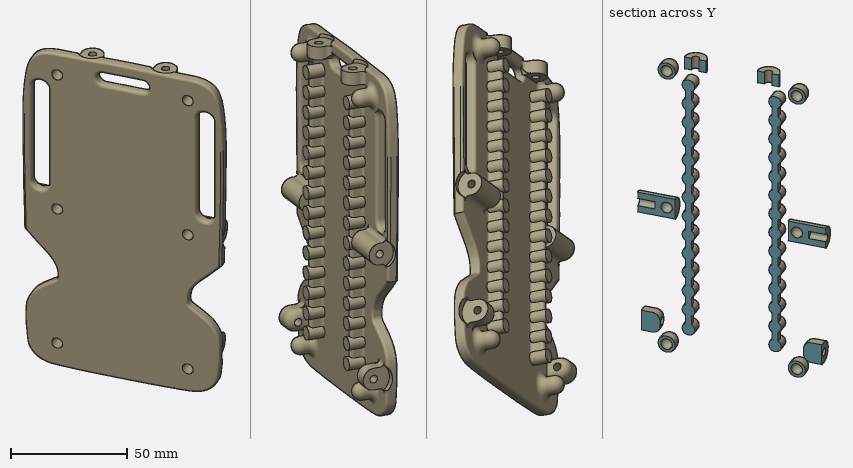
import cadquery as cq
import math

PLATE_THICKNESS = 5.0
PLATE_EDGE_RADIUS = 1.0
PLATE_TOP = 78.2
PLATE_BOTTOM = -79.36
PLATE_HALF_WIDTH = 46.115

TOP_MIDDLE = (0, PLATE_TOP)
TOP_CORNER = [(28.2, 77.8), (36.6, 77.0), (41.3, 74.2), (43.5, 70.4), (45.1, 62.8)]
WIDEST = (PLATE_HALF_WIDTH, 44.8)
SIDE_MIDDLE = (45.85, 14.0)
SIDE_END = (45.2, -13.0)
WAIST_UPPER = [(39.0, -19.3), (34.0, -24.1), (30.9, -28.8)]
WAIST = (29.9, -34.4)
WAIST_ARC_RADIUS = 2.5
WAIST_SLOPE = math.radians(32)
FOOT_SHOULDER = [(37.4, -40.6), (40.4, -43.1), (43.3, -47.3)]
FOOT_SIDE = (44.65, -59.3)
FOOT_CORNER = [(44.1, -66.0), (43.2, -71.5), (40.4, -75.4), (35.1, -78.2), (28.0, -79.0)]
BOTTOM_MIDDLE = (0, PLATE_BOTTOM)

WAIST_ENTRY = (-0.74, -0.67)
RIGHT = (1, 0)
LEFT = (-1, 0)
DOWN = (0, -1)

ALONG_X = 0
ALONG_Z = 90
SLOT_MOUTH_RADIUS = 1.5
SIDE_SLOT_WIDTH = 8.0
SIDE_SLOT_CENTRES = 47.0
SIDE_SLOT_X = 37.9
SIDE_SLOT_Z = 35.4
TOP_SLOT_WIDTH = 6.0
TOP_SLOT_CENTRES = 18.0
TOP_SLOT_Z = 69.6

BOSS_X = 30.0
BOSS_ROWS_Z = (-67.5, 67.5)
BOSS_RADIUS = 4.0
BOSS_TOP = 14.5
BOSS_FOOT_RADIUS = 3.0
BORE_RADIUS = 2.5
BORE_DOME_RADIUS = 2.2
BORE_DEPTH = 11.0

LUG_RADIUS = 5.0
LUG_HOLE_RADIUS = 1.75
LUG_FOOT_RADIUS = 2.0
LUG_AXIS_Y = 8.0
LUG_RELIEF_RADIUS = 6.5
TOP_LUG_X = 16.8
TOP_LUG_END_Z = 76.3
TOP_LUG_LENGTH = 6.0
RELIEF_LENGTH = 10.0
SIDE_LUG_Z = 0.0
SIDE_LUG_END_X = 43.4
SIDE_LUG_LENGTH = SIDE_LUG_END_X - BOSS_X + BOSS_RADIUS
SIDE_LUG_HOLE_DEPTH = 8.0
LOW_LUG_AXIS_Y = 10.0
LOW_LUG_RELIEF_RADIUS = 7.5
LOW_LUG_END_X = 41.6
LOW_LUG_Z = -58.0
LOW_LUG_STRAIGHT = 5.0
LOW_LUG_END_RADIUS = 3.6

POST_X = 19.95
POST_RADIUS = 3.0
POST_TOP = 12.6
POST_COUNT = 14
POST_PITCH = 9.25
FIRST_POST_Z = LOW_LUG_Z
RAIL_HALF_WIDTH = 1.5
RAIL_TOP = 11.1
RAIL_TOP_RADIUS = 1.4
RAIL_FOOT_RADIUS = 1.1

FITTING_BASE = PLATE_THICKNESS - PLATE_EDGE_RADIUS


def on_back(x, z):
    """Workplane in the XZ plane with its origin at (x, 0, z) and its normal along +Y."""
    return cq.Workplane(cq.Plane(origin=(x, 0, z), xDir=(1, 0, 0), normal=(0, 1, 0)))


def waist_arc_point(turn):
    """Point on the tight arc below the waist, after turning from straight down by an angle."""
    x, z = WAIST
    return (x + WAIST_ARC_RADIUS * (1 - math.cos(turn)), z - WAIST_ARC_RADIUS * math.sin(turn))


def make_plate():
    waist_turn = math.pi / 2 - WAIST_SLOPE
    slope = (math.cos(WAIST_SLOPE), -math.sin(WAIST_SLOPE))
    right_half = (
        cq.Workplane("XZ")
        .moveTo(*TOP_MIDDLE)
        .spline(TOP_CORNER + [WIDEST], tangents=[RIGHT, DOWN], includeCurrent=True)
        .threePointArc(SIDE_MIDDLE, SIDE_END)
        .spline(WAIST_UPPER + [WAIST], tangents=[WAIST_ENTRY, DOWN], includeCurrent=True)
        .threePointArc(waist_arc_point(waist_turn / 2), waist_arc_point(waist_turn))
        .spline(FOOT_SHOULDER + [FOOT_SIDE], tangents=[slope, DOWN], includeCurrent=True)
        .spline(FOOT_CORNER + [BOTTOM_MIDDLE], tangents=[DOWN, LEFT], includeCurrent=True)
        .close()
        .extrude(-PLATE_THICKNESS)
    )
    plate = right_half.union(right_half.mirror("YZ"))
    return plate.faces("<Y or >Y").edges().fillet(PLATE_EDGE_RADIUS)


def make_slot(x, z, centres, width, angle, depth):
    """Straight slot cutter with round ends, running back from the front face."""
    return on_back(x, z).slot2D(centres + width, width, angle).extrude(depth)


def make_top_slot(depth):
    return make_slot(0, TOP_SLOT_Z, TOP_SLOT_CENTRES, TOP_SLOT_WIDTH, ALONG_X, depth)


def cut_slots(plate):
    """Cut the three slots and round over their rims on both faces."""
    plate = plate.cut(make_top_slot(PLATE_THICKNESS))
    for x in (-SIDE_SLOT_X, SIDE_SLOT_X):
        slot = make_slot(x, SIDE_SLOT_Z, SIDE_SLOT_CENTRES, SIDE_SLOT_WIDTH, ALONG_Z, PLATE_THICKNESS)
        plate = plate.cut(slot)
    rims = []
    for face in plate.faces("<Y or >Y").vals():
        for wire in face.innerWires():
            rims.extend(wire.Edges())
    return plate.newObject(rims).fillet(SLOT_MOUTH_RADIUS)


def make_boss(x, z):
    foot = BOSS_RADIUS + BOSS_FOOT_RADIUS
    foot_top = PLATE_THICKNESS + BOSS_FOOT_RADIUS
    diagonal = math.sqrt(0.5)
    shoulder = BOSS_TOP - BOSS_RADIUS
    profile = (
        cq.Workplane("XY")
        .moveTo(0, FITTING_BASE)
        .lineTo(foot, FITTING_BASE)
        .lineTo(foot, PLATE_THICKNESS)
        .threePointArc(
            (foot - BOSS_FOOT_RADIUS * diagonal, foot_top - BOSS_FOOT_RADIUS * diagonal),
            (BOSS_RADIUS, foot_top),
        )
        .lineTo(BOSS_RADIUS, shoulder)
        .threePointArc((BOSS_RADIUS * diagonal, shoulder + BOSS_RADIUS * diagonal), (0, BOSS_TOP))
        .close()
    )
    return profile.revolve(360, (0, 0), (0, 1)).translate((x, 0, z))


def make_bore(x, z):
    return on_back(x, z).circle(BORE_RADIUS).extrude(BORE_DEPTH).faces(">Y").edges().fillet(BORE_DOME_RADIUS)


def make_lug(axis_y, straight, end_radius=0.0):
    """Lug with its end face at Z = 0, running toward -Z; a rounded inner end adds to its length."""
    lug = (
        cq.Workplane("XY")
        .moveTo(-LUG_RADIUS, FITTING_BASE)
        .lineTo(-LUG_RADIUS, axis_y)
        .threePointArc((0, axis_y + LUG_RADIUS), (LUG_RADIUS, axis_y))
        .lineTo(LUG_RADIUS, FITTING_BASE)
        .close()
        .extrude(-straight - end_radius)
    )
    if end_radius:
        lug = lug.faces("<Z").edges("not <Y").fillet(end_radius)
    bend = LUG_FOOT_RADIUS * (1 - math.sqrt(0.5))
    for side in (-1, 1):
        foot = (
            cq.Workplane("XY")
            .moveTo(side * LUG_RADIUS, PLATE_THICKNESS + LUG_FOOT_RADIUS)
            .threePointArc(
                (side * (LUG_RADIUS + bend), PLATE_THICKNESS + bend),
                (side * (LUG_RADIUS + LUG_FOOT_RADIUS), PLATE_THICKNESS),
            )
            .lineTo(side * (LUG_RADIUS + LUG_FOOT_RADIUS), FITTING_BASE)
            .lineTo(side * LUG_RADIUS, FITTING_BASE)
            .close()
            .extrude(-straight)
        )
        lug = lug.union(foot)
    return lug


def lug_cylinder(axis_y, radius, length):
    """Cylinder on a lug's axis, from the lug's end face at Z = 0 to Z = length."""
    return cq.Workplane("XY").center(0, axis_y).circle(radius).extrude(length)


def facing_right(shape, end_x, z):
    """Turn a shape that ends toward +Z so that it ends toward +X, at the given place."""
    return shape.rotate((0, 0, 0), (0, 1, 0), 90).translate((end_x, 0, z))


def make_rail(x):
    length = (POST_COUNT - 1) * POST_PITCH
    foot = RAIL_HALF_WIDTH + RAIL_FOOT_RADIUS
    bend = RAIL_FOOT_RADIUS * (1 - math.sqrt(0.5))
    foot_top = PLATE_THICKNESS + RAIL_FOOT_RADIUS
    rail = (
        cq.Workplane("XY")
        .moveTo(-foot, FITTING_BASE)
        .lineTo(-foot, PLATE_THICKNESS)
        .threePointArc((-RAIL_HALF_WIDTH - bend, PLATE_THICKNESS + bend), (-RAIL_HALF_WIDTH, foot_top))
        .lineTo(-RAIL_HALF_WIDTH, RAIL_TOP)
        .lineTo(RAIL_HALF_WIDTH, RAIL_TOP)
        .lineTo(RAIL_HALF_WIDTH, foot_top)
        .threePointArc((RAIL_HALF_WIDTH + bend, PLATE_THICKNESS + bend), (foot, PLATE_THICKNESS))
        .lineTo(foot, FITTING_BASE)
        .close()
        .extrude(length)
        .faces(">Y")
        .edges("|Z")
        .fillet(RAIL_TOP_RADIUS)
    )
    return rail.translate((x, 0, FIRST_POST_Z))


def make_post(x, z):
    post = on_back(x, z).circle(POST_RADIUS).extrude(POST_TOP - FITTING_BASE)
    return post.translate((0, FITTING_BASE, 0))


def make_post_row():
    row = make_rail(POST_X)
    for i in range(POST_COUNT):
        row = row.union(make_post(POST_X, FIRST_POST_Z + i * POST_PITCH))
    return row


def make_lugs():
    """The three lugs of the right side."""
    top_lug = make_lug(LUG_AXIS_Y, TOP_LUG_LENGTH)
    top_lug = top_lug.cut(lug_cylinder(LUG_AXIS_Y, LUG_HOLE_RADIUS, -TOP_LUG_LENGTH))
    side_lug = make_lug(LUG_AXIS_Y, SIDE_LUG_LENGTH)
    side_lug = side_lug.cut(lug_cylinder(LUG_AXIS_Y, LUG_HOLE_RADIUS, -SIDE_LUG_HOLE_DEPTH))
    low_lug = make_lug(LOW_LUG_AXIS_Y, LOW_LUG_STRAIGHT, LOW_LUG_END_RADIUS)
    low_length = LOW_LUG_STRAIGHT + LOW_LUG_END_RADIUS
    low_lug = low_lug.cut(lug_cylinder(LOW_LUG_AXIS_Y, LUG_HOLE_RADIUS, -low_length))
    return (
        top_lug.translate((TOP_LUG_X, 0, TOP_LUG_END_Z))
        .union(facing_right(side_lug, SIDE_LUG_END_X, SIDE_LUG_Z))
        .union(facing_right(low_lug, LOW_LUG_END_X, LOW_LUG_Z))
    )


def make_lug_reliefs():
    """Cutters that recess the right half of the plate edge in front of each lug."""
    relief = lug_cylinder(LUG_AXIS_Y, LUG_RELIEF_RADIUS, RELIEF_LENGTH)
    low_relief = lug_cylinder(LOW_LUG_AXIS_Y, LOW_LUG_RELIEF_RADIUS, RELIEF_LENGTH)
    return (
        relief.translate((TOP_LUG_X, 0, TOP_LUG_END_Z))
        .union(facing_right(relief, SIDE_LUG_END_X, SIDE_LUG_Z))
        .union(facing_right(low_relief, LOW_LUG_END_X, LOW_LUG_Z))
    )


def make_part():
    lugs = make_lugs().cut(make_top_slot(LUG_AXIS_Y))
    fittings = lugs.union(make_post_row())
    for z in BOSS_ROWS_Z:
        fittings = fittings.union(make_boss(BOSS_X, z))
    reliefs = make_lug_reliefs()
    bores = make_bore(BOSS_X, SIDE_LUG_Z)
    for z in BOSS_ROWS_Z:
        bores = bores.union(make_bore(BOSS_X, z))
    part = cut_slots(make_plate())
    part = part.cut(reliefs).cut(reliefs.mirror("YZ"))
    part = part.union(fittings).union(fittings.mirror("YZ"))
    return part.cut(bores).cut(bores.mirror("YZ"))


result = make_part()